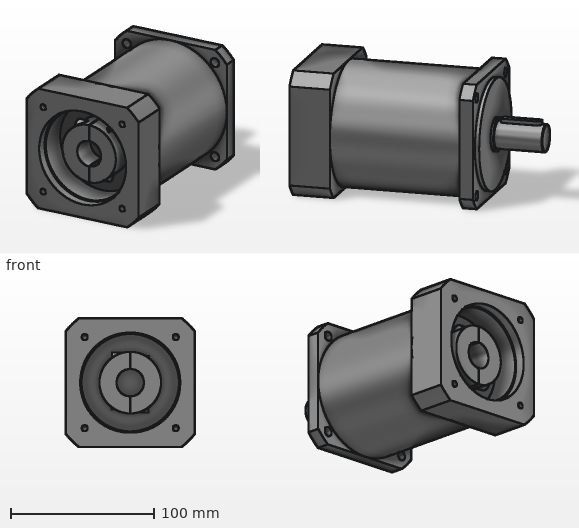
import cadquery as cq
import math

total_length = 173.5
square_side = 90.0
corner_circle_dia = 115.0

motor_flange_length = 29.5
output_flange_start = 123.5
output_flange_face = 133.5
pilot_face = 136.5
collar_face = 138.5

pilot_dia = 80.0
collar_dia = 24.1
shaft_dia = 20.0
shaft_chamfer = 0.5

motor_pilot_dia = 70.0
motor_pilot_depth = 7.6
pocket_dia = 68.0
pocket_depth = 27.8
hub_dia = 43.0
hub_recess = 9.0
hub_bore_dia = 19.0
hub_slit_width = 0.5

screw_station = 16.5
screw_offset = 15.8
screw_head_dia = 10.2
screw_shank_dia = 5.9
screw_head_end = 12.8
screw_head_length = 8.0
screw_shank_end = 13.2

motor_hole_dia = 4.2
motor_hole_spacing = 63.5
motor_hole_depth = 13.9
drill_point_angle = 118.0
output_hole_dia = 6.6
output_hole_spacing = 70.8

key_width = 6.0
key_height = 6.0
key_length = 30.0
key_top = 12.5
key_end_gap = 3.0


def rod(diameter, start, end):
    """Cylinder on the gearbox axis between two Y stations."""
    return cq.Workplane("XZ", origin=(0, start, 0)).circle(diameter / 2).extrude(start - end)


def square_flange(start, end):
    """Square plate whose corners are turned to a common circle."""
    plate = cq.Workplane("XZ", origin=(0, start, 0)).rect(square_side, square_side).extrude(start - end)
    return plate.intersect(rod(corner_circle_dia, start, end))


def square_pattern(spacing):
    """The four corners of a square centred on the axis, as (x, z)."""
    half = spacing / 2
    return [(x, z) for x in (-half, half) for z in (-half, half)]


def make_key():
    """Feather key lying along Y with its flat top facing +Z."""
    center_y = total_length - key_end_gap - key_length / 2
    return (
        cq.Workplane("XY", origin=(0, center_y, key_top - key_height))
        .slot2D(key_length, key_width, 90)
        .extrude(key_height)
    )


def make_shaft():
    """Output shaft with a chamfered end."""
    shaft = rod(shaft_dia, output_flange_face, total_length)
    return shaft.faces(">Y").chamfer(shaft_chamfer)


def make_hub():
    """Slit clamp hub with its bore, standing on the pocket floor."""
    hub = rod(hub_dia, hub_recess, pocket_depth).cut(rod(hub_bore_dia, hub_recess, pocket_depth))
    hub_length = pocket_depth - hub_recess
    slit = cq.Workplane("XY").box(hub_slit_width, hub_length, hub_dia)
    return hub.cut(slit.translate((0, hub_recess + hub_length / 2, 0)))


def make_clamp_screw():
    """Upper clamp screw, lying along X with its head on the -X side."""
    seat = cq.Workplane("YZ", origin=(-screw_head_end, screw_station, screw_offset))
    head = seat.circle(screw_head_dia / 2).extrude(screw_head_length)
    shank = seat.circle(screw_shank_dia / 2).extrude(screw_head_end + screw_shank_end)
    return head.union(shank)


def make_motor_hole():
    """Blind hole with a drill point, running along +Y from the origin."""
    radius = motor_hole_dia / 2
    point_length = radius / math.tan(math.radians(drill_point_angle / 2))
    profile = [
        (0, 0),
        (radius, 0),
        (radius, motor_hole_depth),
        (0, motor_hole_depth + point_length),
    ]
    return cq.Workplane("XY").polyline(profile).close().revolve(360, (0, 0), (0, 1))


def make_gearbox(key):
    """Housing, output shaft and clamp hub, with a keyway that fits the key."""
    body = square_flange(0, motor_flange_length)
    body = body.union(rod(square_side, motor_flange_length, output_flange_start))
    body = body.union(square_flange(output_flange_start, output_flange_face))
    body = body.union(rod(pilot_dia, output_flange_face, pilot_face))
    body = body.union(rod(collar_dia, pilot_face, collar_face))
    body = body.union(make_shaft())

    body = body.cut(rod(motor_pilot_dia, 0, motor_pilot_depth))
    body = body.cut(rod(pocket_dia, 0, pocket_depth))
    body = body.union(make_hub())
    for turn in (0, 180):
        body = body.union(make_clamp_screw().rotate((0, 0, 0), (0, 1, 0), turn))

    for x, z in square_pattern(motor_hole_spacing):
        body = body.cut(make_motor_hole().translate((x, 0, z)))
    for x, z in square_pattern(output_hole_spacing):
        body = body.cut(rod(output_hole_dia, output_flange_start, output_flange_face).translate((x, 0, z)))

    return body.cut(key)


key = make_key()
gearbox = make_gearbox(key)

result = cq.Compound.makeCompound([gearbox.val(), key.val()])